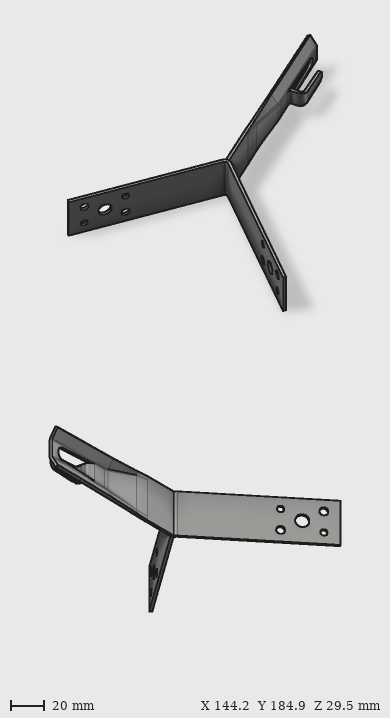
import cadquery as cq
import math

sheet = 2.0
half_sheet = sheet / 2
height = 29.5
half_height = height / 2

fold_inner_radius = 2.0
fold_outer_radius = fold_inner_radius + sheet
leg_angle = 45.0
leg_length = 98.0

outer_column = 10.0
column_spacing = 26.0
row_spacing = 14.0
center_hole = 8.5
large_hole = 5.3
small_hole = 4.3

arm_length = 113.0
ramp_start = 25.8
ramp_entry_length = 10.0
ramp_exit_length = 3.3
channel_start = 62.3
web_depth = 4.3
channel_tip_half = 13.6
flange_bend_radius = 1.5
flange_angle = 32.0
entry_flange_angle = 15.0
root_web_half = 12.0
root_bend_width = 0.1

ramp_entry_end = ramp_start + ramp_entry_length
ramp_exit_start = channel_start - ramp_exit_length
ramp_run = (channel_start - ramp_start) - (ramp_entry_length + ramp_exit_length) / 2
ramp_slope = web_depth / ramp_run

slot_tip = 106.7
slot_tip_half_width = 4.2
slot_root_half_width = 5.6
tongue_gap = 0.5
tongue_tip = 99.0
hook_root_radius = 2.0
hook_tip_radius = 3.0
hook_shelf = 73.9
hook_face = 15.4

slot_root = hook_shelf - hook_root_radius
web_inner_x = web_depth - half_sheet
web_outer_x = web_depth + half_sheet
cut_reach = 60.0


def build_v_bracket():
    """Right-angle folded strip with the same five holes in each leg."""
    sin_leg = math.sin(math.radians(leg_angle))
    cos_leg = math.cos(math.radians(leg_angle))
    fold_center_y = -fold_outer_radius

    def fold_point(radius):
        return radius * sin_leg, fold_center_y + radius * cos_leg

    outer_x, outer_y = fold_point(fold_outer_radius)
    inner_x, inner_y = fold_point(fold_inner_radius)
    reach_x = leg_length * cos_leg
    drop_y = leg_length * sin_leg
    strip = (
        cq.Workplane("XY")
        .workplane(offset=-half_height)
        .moveTo(-outer_x, outer_y)
        .threePointArc((0, 0), (outer_x, outer_y))
        .lineTo(outer_x + reach_x, outer_y - drop_y)
        .lineTo(inner_x + reach_x, inner_y - drop_y)
        .lineTo(inner_x, inner_y)
        .threePointArc((0, -sheet), (-inner_x, inner_y))
        .lineTo(-inner_x - reach_x, inner_y - drop_y)
        .lineTo(-outer_x - reach_x, outer_y - drop_y)
        .close()
        .extrude(height)
    )

    inner_column = outer_column + column_spacing
    row = row_spacing / 2
    holes = [
        (outer_column + column_spacing / 2, 0, center_hole),
        (outer_column, row, large_hole),
        (inner_column, -row, large_hole),
        (outer_column, -row, small_hole),
        (inner_column, row, small_hole),
    ]
    for side in (-1, 1):
        for from_tip, z, diameter in holes:
            along = leg_length - from_tip
            center = cq.Vector(side * (outer_x + along * cos_leg), outer_y - along * sin_leg, z)
            outward = cq.Vector(side * sin_leg, cos_leg, 0)
            strip = strip.cut(
                cq.Workplane(cq.Solid.makeCylinder(
                    diameter / 2, 4 * sheet, center - outward * (2 * sheet), outward))
            )
    return strip


def depth_at(y):
    """Web offset: arc into the ramp, straight ramp, arc into the channel."""
    if y <= ramp_entry_end:
        return ramp_slope * (y - ramp_start) ** 2 / (2 * ramp_entry_length)
    if y <= ramp_exit_start:
        return ramp_slope * (y - ramp_start - ramp_entry_length / 2)
    if y <= channel_start:
        return web_depth - ramp_slope * (channel_start - y) ** 2 / (2 * ramp_exit_length)
    return web_depth


def flange_angle_at(y):
    """Flange tilt in degrees, growing in step with the depth, then easing into the channel."""
    if y <= ramp_entry_end:
        return entry_flange_angle * ((y - ramp_start) / ramp_entry_length) ** 2
    if y <= ramp_exit_start:
        share = (y - ramp_entry_end) / (ramp_exit_start - ramp_entry_end)
        eased_share = math.sin(share * math.pi / 2)
        return entry_flange_angle + (flange_angle - entry_flange_angle) * eased_share
    return flange_angle


def tip_half_at(y):
    """Half height across the flange edges, tapering evenly to the arm end."""
    share = (y - ramp_start) / (arm_length - ramp_start)
    return half_height + (channel_tip_half - half_height) * share


def section_wire(y):
    """Closed outline of the bent sheet in the plane at this Y."""
    angle = math.radians(flange_angle_at(y))
    sine = math.sin(angle)
    cosine = math.cos(angle)
    inner_face = depth_at(y) - half_sheet
    tip_half = tip_half_at(y)
    flat = y == ramp_start
    if flat:
        web_half = root_web_half
        bend_end = (inner_face, web_half + root_bend_width)
    else:
        bend_drop = flange_bend_radius * (1 - cosine)
        flange_length = (depth_at(y) - bend_drop) / sine
        bend_end_z = tip_half - sheet * sine - flange_length * cosine
        web_half = bend_end_z - flange_bend_radius * sine
        bend_end = (inner_face - bend_drop, bend_end_z)

    def bend_middle(radius):
        center_x = inner_face - flange_bend_radius
        return center_x + radius * math.cos(angle / 2), web_half + radius * math.sin(angle / 2)

    tip_inner = (-half_sheet, tip_half - sheet * sine)
    tip_outer = (-half_sheet + sheet * cosine, tip_half)
    bend_end_outer = (bend_end[0] + sheet * cosine, bend_end[1] + sheet * sine)
    web_inner = (inner_face, web_half)
    web_outer = (inner_face + sheet, web_half)
    middle_inner = bend_middle(flange_bend_radius)
    middle_outer = bend_middle(flange_bend_radius + sheet)

    def place(point, side):
        return cq.Vector(point[0], y, side * point[1])

    def line(start, start_side, end, end_side):
        return cq.Edge.makeLine(place(start, start_side), place(end, end_side))

    def bend(start, middle, end, side):
        if flat:
            return line(start, side, end, side)
        return cq.Edge.makeThreePointArc(place(start, side), place(middle, side), place(end, side))

    edges = [
        line(web_inner, -1, web_inner, 1),
        bend(web_inner, middle_inner, bend_end, 1),
        line(bend_end, 1, tip_inner, 1),
        line(tip_inner, 1, tip_outer, 1),
        line(tip_outer, 1, bend_end_outer, 1),
        bend(bend_end_outer, middle_outer, web_outer, 1),
        line(web_outer, 1, web_outer, -1),
        bend(web_outer, middle_outer, bend_end_outer, -1),
        line(bend_end_outer, -1, tip_outer, -1),
        line(tip_outer, -1, tip_inner, -1),
        line(tip_inner, -1, bend_end, -1),
        bend(bend_end, middle_inner, web_inner, -1),
    ]
    return cq.Wire.assembleEdges(edges)


def build_channel():
    """Flat root followed by the lofted ramp and channel."""
    channel = cq.Workplane("XY").box(sheet, ramp_start, height, centered=(True, False, True))
    stations = [ramp_start, ramp_entry_end, ramp_exit_start, channel_start, arm_length]
    for start, end in zip(stations, stations[1:]):
        wires = [section_wire(y) for y in (start, (start + end) / 2, end)]
        channel = channel.union(cq.Workplane(cq.Solid.makeLoft(wires)))
    return channel


def tapered_outline(root_y, tip_y, gap):
    """Cutter along X with sides parallel to the slot sides, inset by gap, and a round tip."""
    slot_tip_center = slot_tip - slot_tip_half_width
    taper = (slot_root_half_width - slot_tip_half_width) / (slot_tip_center - slot_root)

    def half_width(y):
        return slot_root_half_width - taper * (y - slot_root) - gap

    tip_center = (tip_y - half_width(0)) / (1 - taper)
    tip_half = half_width(tip_center)
    return (
        cq.Workplane("YZ")
        .moveTo(root_y, -half_width(root_y))
        .lineTo(tip_center, -tip_half)
        .threePointArc((tip_y, 0), (tip_center, tip_half))
        .lineTo(root_y, half_width(root_y))
        .close()
        .extrude(cut_reach, both=True)
    )


def build_tongue():
    """Hook strip: leaves the web, runs along +X as a shelf, then turns along +Y."""
    diagonal = math.sqrt(0.5)
    root_outer = hook_root_radius + sheet
    tip_outer = hook_tip_radius + sheet
    root_center = (web_outer_x + hook_root_radius, slot_root)
    shelf_top = hook_shelf + sheet
    tip_center = (hook_face - tip_outer, hook_shelf + tip_outer)

    def on_root(radius):
        return root_center[0] - radius * diagonal, root_center[1] + radius * diagonal

    def on_tip(radius):
        return tip_center[0] + radius * diagonal, tip_center[1] - radius * diagonal

    strip = (
        cq.Workplane("XY")
        .workplane(offset=-half_height)
        .moveTo(web_inner_x, slot_root)
        .threePointArc(on_root(root_outer), (root_center[0], shelf_top))
        .lineTo(tip_center[0], shelf_top)
        .threePointArc(on_tip(hook_tip_radius), (hook_face - sheet, tip_center[1]))
        .lineTo(hook_face - sheet, slot_tip)
        .lineTo(hook_face, slot_tip)
        .lineTo(hook_face, tip_center[1])
        .threePointArc(on_tip(tip_outer), (tip_center[0], hook_shelf))
        .lineTo(root_center[0], hook_shelf)
        .threePointArc(on_root(hook_root_radius), (web_outer_x, slot_root))
        .close()
        .extrude(height)
    )
    full_width_root = cq.Workplane("XY").box(
        cut_reach, shelf_top - slot_root, 2 * slot_root_half_width, centered=(True, False, True)
    ).translate((0, slot_root, 0))
    plate = tapered_outline(slot_root, tongue_tip, tongue_gap)
    return strip.intersect(plate.union(full_width_root))


def build_arm():
    """Channel arm with its slot and the hook tongue in one piece."""
    slot = tapered_outline(slot_root, slot_tip, 0)
    return build_channel().cut(slot).union(build_tongue())


v_bracket = build_v_bracket()
arm = build_arm()

result = cq.Compound.makeCompound([v_bracket.solids().val(), arm.solids().val()])